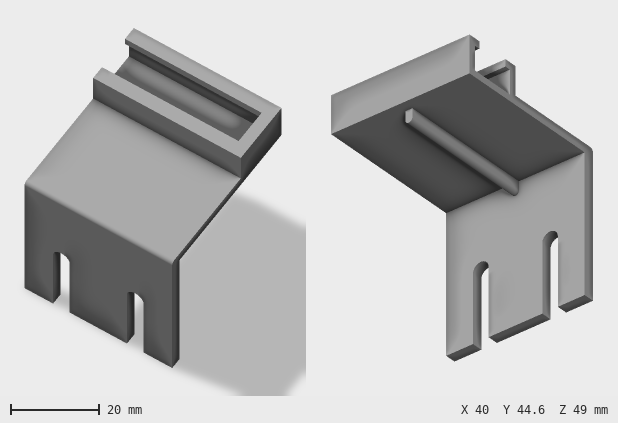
import cadquery as cq

WIDTH = 40.0
HEIGHT = 49.0
PLATE_DEPTH = 28.0
PLATE_THICKNESS = 2.5
WALL_THICKNESS = 3.0
CORNER_RADIUS = 1.0

CHANNEL_DEPTH = 16.59
CHANNEL_RISE = 8.0
CHANNEL_WALL = 2.0
CHANNEL_FLOOR = 1.8
LIP_THICKNESS = 2.0
LIP_OVERHANG = 1.6
CAVITY_LENGTH = 37.8
WINDOW_LENGTH = 37.0

SLOT_WIDTH = 4.5
SLOT_CENTER_HEIGHT = 19.0
SLOT_SPACING = 20.0

RIB_WIDTH = 2.0
RIB_DROP = 3.5
RIB_SETBACK = 3.1

DEPTH = PLATE_DEPTH + CHANNEL_DEPTH
PLATE_TOP = HEIGHT - CHANNEL_RISE
PLATE_BOTTOM = PLATE_TOP - PLATE_THICKNESS


def box(x_range, y_range, z_range):
    """Box spanning the given (low, high) limits on each axis."""
    spans = [high - low for low, high in (x_range, y_range, z_range)]
    corner = (x_range[0], y_range[0], z_range[0])
    return cq.Workplane("XY").box(*spans, centered=False).translate(corner)


def make_body():
    """Side profile in YZ, extruded across the width."""
    return (
        cq.Workplane("YZ")
        .moveTo(0, 0)
        .lineTo(0, PLATE_TOP - CORNER_RADIUS)
        .radiusArc((CORNER_RADIUS, PLATE_TOP), CORNER_RADIUS)
        .lineTo(PLATE_DEPTH, PLATE_TOP)
        .lineTo(PLATE_DEPTH, HEIGHT)
        .lineTo(DEPTH, HEIGHT)
        .lineTo(DEPTH, PLATE_BOTTOM)
        .lineTo(WALL_THICKNESS, PLATE_BOTTOM)
        .lineTo(WALL_THICKNESS, 0)
        .close()
        .extrude(WIDTH)
    )


def make_channel_cavity():
    """Wide cavity below the lips, joined to the narrower window above."""
    front = PLATE_DEPTH + CHANNEL_WALL
    back = DEPTH - CHANNEL_WALL
    floor = PLATE_BOTTOM + CHANNEL_FLOOR
    lip_bottom = HEIGHT - LIP_THICKNESS
    cavity = box((0, CAVITY_LENGTH), (front, back), (floor, lip_bottom))
    window = box(
        (0, WINDOW_LENGTH),
        (front + LIP_OVERHANG, back - LIP_OVERHANG),
        (floor, HEIGHT),
    )
    return cavity.union(window)


def make_slot(center_x):
    """Round-topped slot through the wall, open at the bottom edge."""
    radius = SLOT_WIDTH / 2
    return (
        cq.Workplane("XZ")
        .moveTo(center_x - radius, 0)
        .lineTo(center_x - radius, SLOT_CENTER_HEIGHT)
        .threePointArc(
            (center_x, SLOT_CENTER_HEIGHT + radius),
            (center_x + radius, SLOT_CENTER_HEIGHT),
        )
        .lineTo(center_x + radius, 0)
        .close()
        .extrude(-WALL_THICKNESS)
    )


def make_rib():
    """Central rib under the plate with a fully rounded lower edge."""
    radius = RIB_WIDTH / 2
    center_x = WIDTH / 2
    bottom = PLATE_BOTTOM - RIB_DROP
    start_y = WALL_THICKNESS / 2
    top = PLATE_BOTTOM + CHANNEL_FLOOR / 2
    return (
        cq.Workplane("XZ", origin=(0, start_y, 0))
        .moveTo(center_x - radius, top)
        .lineTo(center_x - radius, bottom + radius)
        .threePointArc((center_x, bottom), (center_x + radius, bottom + radius))
        .lineTo(center_x + radius, top)
        .close()
        .extrude(-(DEPTH - RIB_SETBACK - start_y))
    )


result = make_body().cut(make_channel_cavity()).union(make_rib())
for side in (-1, 1):
    result = result.cut(make_slot(WIDTH / 2 + side * SLOT_SPACING / 2))